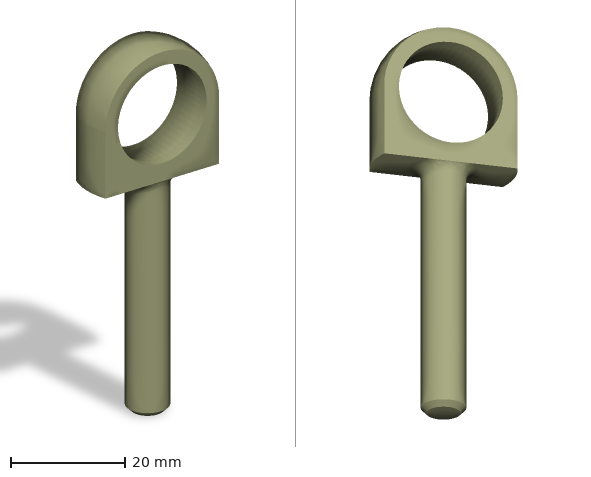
import cadquery as cq

head_radius = 13.0
head_width = 9.0
eye_diameter = 19.0

shank_diameter = 8.0
shank_length = 46.0
threaded_length = 15.0
tip_chamfer = 1.0
neck_fillet = 2.0

head_bottom = -head_radius
plain_length = shank_length - threaded_length
thread_start = head_bottom - plain_length


def make_head():
    """Upright round post with a spherical top, trimmed to flat sides."""
    post = cq.Workplane("XY").circle(head_radius).extrude(head_bottom)
    dome = cq.Workplane("XY").sphere(head_radius)
    slab = cq.Workplane("XY").box(head_width, 2 * head_radius, 2 * head_radius)
    return post.union(dome).intersect(slab)


def make_pin(top, length):
    """Round pin on the Z axis that hangs down from the height `top`."""
    return cq.Workplane("XY", origin=(0, 0, top)).circle(shank_diameter / 2).extrude(-length)


def fillet_neck(body):
    """Round the circular corner where the shank meets the underside of the head."""
    half_height = neck_fillet / 2
    neck_zone = cq.selectors.BoxSelector(
        (-shank_diameter, -shank_diameter, head_bottom - half_height),
        (shank_diameter, shank_diameter, head_bottom + half_height),
    )
    return body.edges(neck_zone).edges("%CIRCLE").fillet(neck_fillet)


def cut_eye(body):
    """Bore the eye along X through the full width of the head."""
    side = cq.Workplane("YZ", origin=(-head_width / 2, 0, 0))
    return body.cut(side.circle(eye_diameter / 2).extrude(head_width), clean=False)


plain_shank = make_pin(head_bottom, plain_length)
threaded_end = make_pin(thread_start, threaded_length).faces("<Z").chamfer(tip_chamfer)

body = fillet_neck(make_head().union(plain_shank))
body = body.union(threaded_end, clean=False)
result = cut_eye(body)